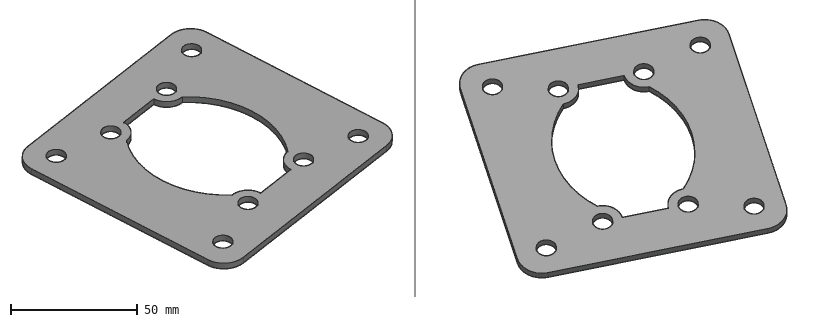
import cadquery as cq

side = 110.0
thickness = 3.0
corner_radius = 10.0

hole_diameter = 8.0
corner_hole_spacing = 85.0
inner_hole_spacing_x = 70.0
inner_hole_spacing_y = 35.0

opening_width = inner_hole_spacing_x
opening_height = 56.0
arc_radius = 40.0
lug_radius = 8.0


def plate_prism(sketch):
    """Extrude a centred outline through the plate thickness."""
    return sketch.extrude(thickness)


def arc_disc(direction):
    """Disc whose outermost point reaches the opening's top (+1) or bottom (-1)."""
    centre_y = direction * (opening_height / 2 - arc_radius)
    return plate_prism(cq.Workplane("XY").center(0, centre_y).circle(arc_radius))


def central_opening():
    lens = arc_disc(1).intersect(arc_disc(-1))
    band = plate_prism(cq.Workplane("XY").rect(opening_width, inner_hole_spacing_y))
    lugs = plate_prism(
        cq.Workplane("XY")
        .rect(inner_hole_spacing_x, inner_hole_spacing_y, forConstruction=True)
        .vertices()
        .circle(lug_radius)
    )
    flat_ends = plate_prism(cq.Workplane("XY").rect(opening_width, opening_height))
    return lens.union(band).intersect(flat_ends).cut(lugs)


def hole_pattern(spacing_x, spacing_y):
    """Four through holes at the corners of a centred rectangle."""
    return plate_prism(
        cq.Workplane("XY")
        .rect(spacing_x, spacing_y, forConstruction=True)
        .vertices()
        .circle(hole_diameter / 2)
    )


plate = plate_prism(cq.Workplane("XY").rect(side, side)).edges("|Z").fillet(corner_radius)

result = (
    plate.cut(central_opening())
    .cut(hole_pattern(corner_hole_spacing, corner_hole_spacing))
    .cut(hole_pattern(inner_hole_spacing_x, inner_hole_spacing_y))
)